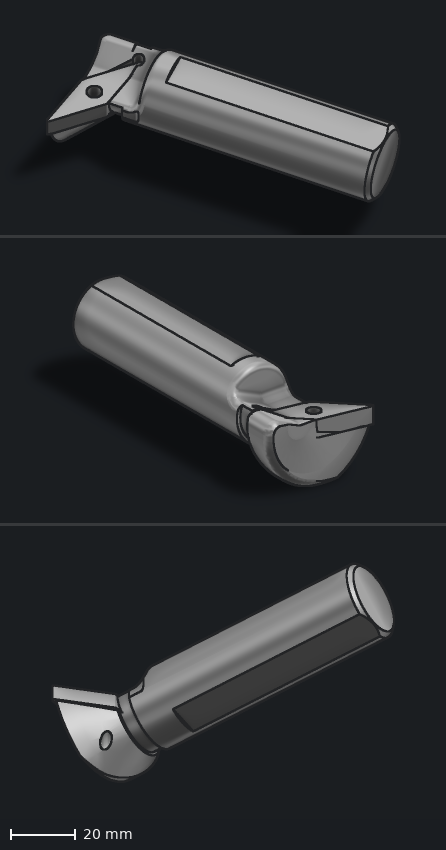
import cadquery as cq
import math

overall_length = 103.13
shank_radius = 12.7
shank_flat_height = 11.4
shank_flat_start = 31.5
end_chamfer = 1.5
far = 60.0

groove_start = 14.4
groove_end = 19.4
groove_radius = 11.4
shoulder_x = 24.45
shoulder_edge_radius = 2.6
corner_radius = 3.6
rim_reach = 10.0
side_flat_y = -12.0
side_flat_end = 25.8
side_flat_end_radius = 1.9

floor_z = 0.3
bank_angle = 23.0
bank_edge_radius = 3.8

head_radius = 21.05
head_center_y = -7.9
head_bottom_z = -22.78
head_center_z = head_bottom_z + head_radius
head_flat_y = head_center_y + head_radius
head_edge_radius = 3.2
head_front_x = 1.9
head_front_angle = 2.6
dish_x = 3.86
dish_radius = 4.8
dish_angle = 10.0
relief_x = 0.68
relief_angle = 3.0
back_cone_radius = 12.45

insert_circle = 12.0
insert_thickness = 6.35
insert_point_angle = 35.0
insert_axis_angle = 62.5
insert_nose_radius = 0.5
insert_x = 8.945
insert_y = -9.34
pocket_runout = 3.0
insert_hole_diameter = 4.8
screw_hole_diameter = 3.6
corner_relief_radius = 1.8
corner_relief_x = 17.2
corner_relief_y = 6.0


def x_cylinder(radius, start, end, y=0.0, z=0.0):
    """Cylinder along X between two stations."""
    return cq.Workplane("YZ", origin=(start, y, z)).circle(radius).extrude(end - start)


def box_between(low, high):
    size = [b - a for a, b in zip(low, high)]
    return cq.Workplane("XY").box(*size, centered=False).translate(low)


def bank_height(y):
    return floor_z + y * math.tan(math.radians(bank_angle))


def recess_tool():
    """Space above the floor and the bank, rounded along its inner corners."""
    tool = (
        cq.Workplane("YZ", origin=(-far, 0, 0))
        .polyline([(-2 * far, floor_z), (0, floor_z), (far, bank_height(far)), (far, far), (-2 * far, far)])
        .close()
        .extrude(far + shoulder_x)
    )
    valley = cq.selectors.NearestToPointSelector(((shoulder_x - far) / 2, 0, floor_z))
    tool = tool.edges(valley).fillet(corner_radius)
    shoulder_foot = cq.selectors.BoxSelector((0, 1 - far, -1), (far, far - 1, far - 1))
    return tool.faces(">X").edges(shoulder_foot).fillet(corner_radius)


def insert_prism(height):
    """Rhombic prism with rounded noses, centred on the screw axis, standing on the seat."""
    half_angle = math.radians(insert_point_angle / 2)
    half_long = insert_circle / 2 / math.sin(half_angle)
    half_short = insert_circle / 2 / math.cos(half_angle)
    prism = (
        cq.Workplane("XY")
        .polyline([(half_long, 0), (0, half_short), (-half_long, 0), (0, -half_short)])
        .close()
        .extrude(height)
        .edges("|Z")
        .fillet(insert_nose_radius)
    )
    return prism.rotate((0, 0, 0), (0, 0, 1), insert_axis_angle).translate(
        (insert_x, insert_y, floor_z - insert_thickness)
    )


def z_hole(radius, x, y, bottom):
    return cq.Workplane("XY", origin=(x, y, bottom)).circle(radius).extrude(far)


def head_blank(recess):
    """Bar along X, round below and flat on the +Y side, topped by the recess and rounded at the front."""
    lean = far * math.tan(math.radians(head_front_angle))
    front_slab = (
        cq.Workplane("XY", origin=(0, 0, -far))
        .polyline([(-far, -far), (head_front_x - lean, -far), (head_front_x + lean, far), (-far, far)])
        .close()
        .extrude(2 * far)
    )
    blank = (
        cq.Workplane("YZ", origin=(-far, 0, 0))
        .moveTo(head_flat_y, far)
        .lineTo(head_flat_y, head_center_z)
        .radiusArc((head_center_y, head_bottom_z), head_radius)
        .lineTo(-far, head_bottom_z)
        .lineTo(-far, far)
        .close()
        .extrude(groove_start + far)
        .cut(front_slab)
        .cut(recess)
    )
    bank_corner = ((head_front_x + groove_start) / 2, head_flat_y, bank_height(head_flat_y))
    blank = blank.edges(cq.selectors.NearestToPointSelector(bank_corner)).fillet(bank_edge_radius)
    return blank.faces("<X").edges().fillet(head_edge_radius)


def face_tool():
    """Space in front of the head: a flat-bottomed conical dish and a leaning relief plane."""
    dish_drop = far * math.tan(math.radians(dish_angle))
    dish = (
        cq.Workplane("XY")
        .polyline([
            (-far, 0),
            (dish_x, 0),
            (dish_x, dish_radius),
            (dish_x - dish_drop, dish_radius + far),
            (-far, dish_radius + far),
        ])
        .close()
        .revolve(360, (0, 0, 0), (1, 0, 0))
    )
    lean = far * math.tan(math.radians(relief_angle))
    relief = (
        cq.Workplane("XZ", origin=(0, far, 0))
        .polyline([(-far, -far), (relief_x + lean, -far), (relief_x - lean, far), (-far, far)])
        .close()
        .extrude(2 * far)
    )
    return dish.union(relief)


def back_cone():
    """45 degree cone growing forward from the neck; it trims the back of the head."""
    cone_end = back_cone_radius + groove_start + far
    return (
        cq.Workplane("XY")
        .polyline([(groove_start, 0), (groove_start, back_cone_radius), (-far, cone_end), (-far, 0)])
        .close()
        .revolve(360, (0, 0, 0), (1, 0, 0))
    )


def make_shank(recess):
    shank = x_cylinder(shank_radius, groove_start, overall_length)
    shank = shank.faces(">X").edges().chamfer(end_chamfer).cut(recess)

    edge_zone = cq.selectors.BoxSelector((groove_start + 1, -far, 0), (side_flat_end, far, far))
    rim = [
        edge
        for edge in shank.edges(edge_zone).vals()
        if math.hypot(edge.Center().y, edge.Center().z) > rim_reach
    ]
    shank = cq.Workplane(obj=shank.val().fillet(shoulder_edge_radius, rim))

    side_cut = box_between((groove_start, -far, -far), (side_flat_end, side_flat_y, far))
    shank = shank.cut(side_cut.edges(">X and >Y").fillet(side_flat_end_radius))

    for low_z in (shank_flat_height, -shank_flat_height - far):
        shank = shank.cut(box_between((shank_flat_start, -far, low_z), (2 * far, far, low_z + far)))

    ring = x_cylinder(far, groove_start, groove_end).cut(x_cylinder(groove_radius, groove_start, groove_end))
    return shank.cut(ring)


def make_holder():
    recess = recess_tool()
    head = head_blank(recess).cut(face_tool()).intersect(back_cone())
    holder = head.union(make_shank(recess))

    seat_z = floor_z - insert_thickness
    edge_angle = math.radians(insert_axis_angle + insert_point_angle / 2)
    runout = (-pocket_runout * math.cos(edge_angle), -pocket_runout * math.sin(edge_angle), 0)
    holder = holder.cut(insert_prism(far)).cut(insert_prism(far).translate(runout))
    holder = holder.cut(z_hole(corner_relief_radius, corner_relief_x, corner_relief_y, seat_z))
    return holder.cut(z_hole(screw_hole_diameter / 2, insert_x, insert_y, -far))


def make_insert():
    hole = z_hole(insert_hole_diameter / 2, insert_x, insert_y, floor_z - insert_thickness)
    return insert_prism(insert_thickness).cut(hole)


holder = make_holder()
insert = make_insert()
result = cq.Compound.makeCompound([holder.val(), insert.val()])